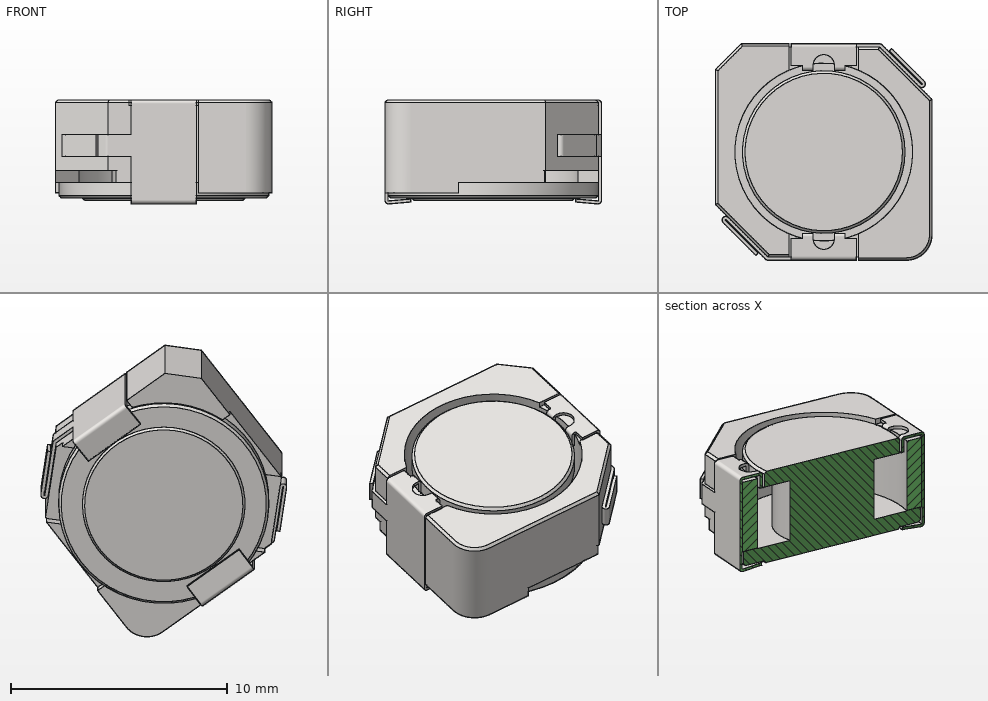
import cadquery as cq
import math


side = 10.0
half_side = side / 2
top_z = 4.8

sheet = 0.15
bend_radius = 0.18
recessed_half = half_side - sheet

shield_bottom_z = 1.0
skirt_bottom_z = 0.51
shield_bore = 8.2
shield_edge_chamfer = 0.12
corner_cut = 1.2
corner_face_angle = 45.0
hook_corner_reach = 7.42
channel_half_width = 1.6
channel_depth = 0.26
lead_slot_width = 3.74
lead_slot_height = 0.54

flange_diameter = 7.5
base_diameter = 9.7
post_diameter = 4.8
core_chamfer = 0.12
boss_chamfer = 0.1
core_bottom_z = 0.16
base_bottom_z = 0.27
top_flange_thickness = 0.8

terminal_width = 3.0
plate_inner_y = 3.98
finger_inner_y = flange_diameter / 2
finger_span = 1.98
finger_bend_radius = 0.17
finger_length = 0.8
notch_diameter = 0.98
notch_center_y = 4.0
foot_tip_y = 3.8
foot_angle = 5.0

arm_bottom_z = 2.2
arm_height = 1.0
hook_gap = 0.04
hook_turn = -0.98
hook_tip = 1.16


def half_turn(body):
    return body.rotate((0, 0, 0), (0, 0, 1), 180)


def shield_blank(half_depth):
    """Shield block with given half depth in Y, three corners cut, one rounded, and the top edge chamfered."""
    hook_x = hook_corner_reach - half_depth
    hook_y = hook_corner_reach - half_side
    plain_x = half_side - corner_cut
    plain_y = half_depth - corner_cut
    arc_offset = corner_cut * math.sqrt(0.5)
    return (
        cq.Workplane("XY", origin=(0, 0, skirt_bottom_z))
        .moveTo(-half_side, -hook_y)
        .lineTo(-hook_x, -half_depth)
        .lineTo(plain_x, -half_depth)
        .threePointArc((plain_x + arc_offset, -plain_y - arc_offset), (half_side, -plain_y))
        .lineTo(half_side, hook_y)
        .lineTo(hook_x, half_depth)
        .lineTo(-plain_x, half_depth)
        .lineTo(-half_side, plain_y)
        .close()
        .extrude(top_z - skirt_bottom_z)
        .faces(">Z")
        .chamfer(shield_edge_chamfer)
    )


def plan_quarter(bottom_z, height):
    """Block covering the +X, -Y quarter of the part outside the terminal channels."""
    near_corner = (channel_half_width, -channel_half_width, bottom_z)
    return cq.Workplane("XY", origin=near_corner).rect(side, -side, centered=False).extrude(height)


def make_shield():
    body = shield_blank(recessed_half)
    proud_body = shield_blank(half_side)
    quarter = plan_quarter(0, top_z)
    body = body.union(proud_body.intersect(quarter)).union(proud_body.intersect(half_turn(quarter)))

    skirt_height = shield_bottom_z - skirt_bottom_z
    skirt = plan_quarter(skirt_bottom_z, skirt_height)
    underside = (
        cq.Workplane("XY", origin=(0, 0, skirt_bottom_z))
        .rect(side, side)
        .extrude(skirt_height)
        .cut(skirt)
        .cut(half_turn(skirt))
    )
    base_seat = cq.Workplane("XY").circle(base_diameter / 2).extrude(shield_bottom_z)
    bore = cq.Workplane("XY").circle(shield_bore / 2).extrude(top_z)
    body = body.cut(underside).cut(base_seat).cut(bore)

    channel = (
        cq.Workplane("XY", origin=(0, 0, top_z - channel_depth))
        .rect(2 * channel_half_width, side)
        .extrude(channel_depth)
    )

    lead_slot = (
        cq.Workplane("XY", origin=(0, 0, shield_bottom_z))
        .rect(2 * side, lead_slot_width)
        .extrude(lead_slot_height)
        .rotate((0, 0, 0), (0, 0, 1), corner_face_angle)
    )
    return body.cut(channel).cut(lead_slot)


def disc(diameter, bottom_z, thickness):
    return cq.Workplane("XY", origin=(0, 0, bottom_z)).circle(diameter / 2).extrude(thickness)


def make_core():
    boss = disc(flange_diameter, core_bottom_z, shield_bottom_z - core_bottom_z)
    boss = boss.faces("<Z").chamfer(boss_chamfer)
    base = disc(base_diameter, base_bottom_z, shield_bottom_z - base_bottom_z)
    base = base.faces("<Z").chamfer(core_chamfer)
    post = disc(post_diameter, shield_bottom_z, top_z - shield_bottom_z - top_flange_thickness)
    top_flange = disc(flange_diameter, top_z - top_flange_thickness, top_flange_thickness)
    top_flange = top_flange.faces(">Z").chamfer(core_chamfer)
    return base.union(boss).union(post).union(top_flange)


def clip_band():
    """Top plate, leg and upward-sloping foot of the -Y terminal, bent from one strip."""
    slope = math.tan(math.radians(foot_angle))
    stretch = 1 / math.cos(math.radians(foot_angle))
    corner_z = -bend_radius * (slope + stretch - 1)
    foot_tip_z = corner_z + (half_side - foot_tip_y) * slope
    foot_thickness_z = sheet * stretch
    return (
        cq.Workplane("YZ")
        .polyline([
            (-plate_inner_y, top_z),
            (-half_side, top_z),
            (-half_side, corner_z),
            (-foot_tip_y, foot_tip_z),
            (-foot_tip_y, foot_tip_z + foot_thickness_z),
            (-recessed_half, corner_z + sheet * slope + foot_thickness_z),
            (-recessed_half, top_z - sheet),
            (-plate_inner_y, top_z - sheet),
        ])
        .close()
        .extrude(terminal_width / 2, both=True)
        .edges("|X and <Y")
        .fillet(bend_radius)
    )


def finger_band():
    """Inner edge of the top plate, bent down into the gap around the drum."""
    return (
        cq.Workplane("YZ")
        .polyline([
            (-plate_inner_y, top_z),
            (-finger_inner_y, top_z),
            (-finger_inner_y, top_z - finger_length),
            (-finger_inner_y - sheet, top_z - finger_length),
            (-finger_inner_y - sheet, top_z - sheet),
            (-plate_inner_y, top_z - sheet),
        ])
        .close()
        .extrude(finger_span / 2, both=True)
        .edges("|X and >Y and >Z")
        .fillet(finger_bend_radius)
    )


def plate_notch():
    """Round-ended notch that splits the bent edge into two fingers."""
    round_end = (
        cq.Workplane("XY", origin=(0, -notch_center_y, top_z - finger_length))
        .circle(notch_diameter / 2)
        .extrude(finger_length)
    )
    open_end = (
        cq.Workplane("XY", origin=(0, -notch_center_y / 2, top_z - finger_length))
        .rect(notch_diameter, notch_center_y)
        .extrude(finger_length)
    )
    return round_end.union(open_end)


def hook_arm():
    """Arm along the recessed side and round the cut corner, folded back on itself at its end."""
    corner_middle = -hook_corner_reach / 2
    corner_plane = cq.Plane(
        origin=(corner_middle, corner_middle, arm_bottom_z), xDir=(1, -1, 0), normal=(0, 0, 1)
    )
    corner_x = recessed_half - hook_corner_reach
    outer_corner_x = corner_x - sheet * math.tan(math.radians(corner_face_angle / 2))
    sheet_offset = sheet * math.sqrt(0.5)
    fold_depth = 2 * sheet + hook_gap
    fold_middle = fold_depth / 2

    outer_bend = (outer_corner_x, -half_side, arm_bottom_z + arm_height / 2)
    straight = (
        cq.Workplane("XY", origin=(0, 0, arm_bottom_z))
        .polyline([
            (-terminal_width / 2, -half_side),
            (-terminal_width / 2, -recessed_half),
            (corner_x, -recessed_half),
            (corner_middle, corner_middle),
            (corner_middle - sheet_offset, corner_middle - sheet_offset),
            (outer_corner_x, -half_side),
        ])
        .close()
        .extrude(arm_height)
        .edges(cq.selectors.NearestToPointSelector(outer_bend))
        .fillet(bend_radius)
    )
    fold = (
        cq.Workplane(corner_plane)
        .moveTo(0, 0)
        .lineTo(hook_turn, 0)
        .threePointArc((hook_turn - fold_middle, -fold_middle), (hook_turn, -fold_depth))
        .lineTo(hook_tip, -fold_depth)
        .lineTo(hook_tip, -fold_depth + sheet)
        .lineTo(hook_turn, -fold_depth + sheet)
        .threePointArc((hook_turn - hook_gap / 2, -fold_middle), (hook_turn, -sheet))
        .lineTo(0, -sheet)
        .close()
        .extrude(arm_height)
    )
    return straight.union(fold)


def make_terminal(angle):
    """The -Y terminal, turned about the drum axis by the given angle."""
    terminal = clip_band().union(finger_band()).cut(plate_notch()).union(hook_arm())
    return terminal.rotate((0, 0, 0), (0, 0, 1), angle)


shield = make_shield()
core = make_core()
terminal_angles = [0, 180]
terminals = [make_terminal(angle) for angle in terminal_angles]

result = cq.Compound.makeCompound([shield.val(), core.val(), *[terminal.val() for terminal in terminals]])